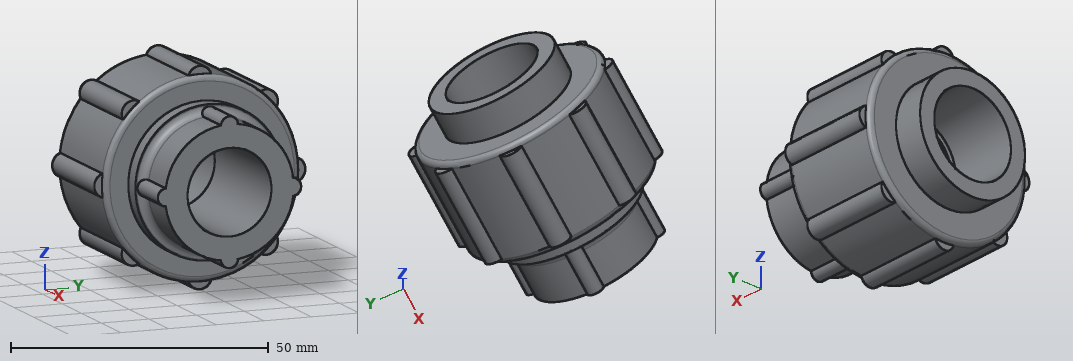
import cadquery as cq

TOTAL_LENGTH = 45.0

NUT_START = 7.0
NUT_END = 31.0
COLLAR_END = 34.6

SPIGOT_RADIUS = 13.7
NUT_RADIUS = 20.55
COLLAR_RADIUS = 15.5
TAIL_RADIUS = 13.5

NUT_EDGE_FILLET = 1.2
TAIL_ROOT_FILLET = 1.7

NUT_RIB_COUNT = 8
NUT_RIB_RADIUS = 2.5
NUT_RIB_CREST = 22.15

TAIL_RIB_COUNT = 4
TAIL_RIB_RADIUS = 1.8
TAIL_RIB_CREST = 15.05

BORE_RADIUS = 8.8
SOCKET_RADIUS = 10.0
SOCKET_DEPTH = 16.0


def cylinder(start, end, radius, offset=0.0):
    """Cylinder parallel to X, its axis raised along Z by the offset."""
    return (
        cq.Workplane("YZ", origin=(start, 0, offset))
        .circle(radius)
        .extrude(end - start)
    )


def add_ribs(body, count, start, end, radius, crest):
    """Join evenly spaced round ribs whose tops reach the crest radius."""
    for index in range(count):
        rib = cylinder(start, end, radius, crest - radius)
        body = body.union(rib.rotate((0, 0, 0), (1, 0, 0), index * 360.0 / count))
    return body


def make_nut():
    nut = cylinder(NUT_START, NUT_END, NUT_RADIUS).edges("%CIRCLE").fillet(NUT_EDGE_FILLET)
    return add_ribs(
        nut,
        NUT_RIB_COUNT,
        NUT_START + NUT_EDGE_FILLET,
        NUT_END - NUT_EDGE_FILLET,
        NUT_RIB_RADIUS,
        NUT_RIB_CREST,
    )


def make_tail():
    """Collar and tail, with a concave fillet where the tail meets the collar."""
    fillet_start = (COLLAR_END, TAIL_RADIUS + TAIL_ROOT_FILLET)
    fillet_end = (COLLAR_END + TAIL_ROOT_FILLET, TAIL_RADIUS)
    profile = (
        cq.Workplane("XY")
        .moveTo(NUT_END, 0)
        .lineTo(NUT_END, COLLAR_RADIUS)
        .lineTo(COLLAR_END, COLLAR_RADIUS)
        .lineTo(*fillet_start)
        .radiusArc(fillet_end, -TAIL_ROOT_FILLET)
        .lineTo(TOTAL_LENGTH, TAIL_RADIUS)
        .lineTo(TOTAL_LENGTH, 0)
        .close()
    )
    tail = profile.revolve(360, (0, 0, 0), (1, 0, 0))
    return add_ribs(
        tail,
        TAIL_RIB_COUNT,
        COLLAR_END,
        TOTAL_LENGTH,
        TAIL_RIB_RADIUS,
        TAIL_RIB_CREST,
    )


spigot = cylinder(0, NUT_START, SPIGOT_RADIUS)
bore = cylinder(0, TOTAL_LENGTH, BORE_RADIUS)
socket = cylinder(0, SOCKET_DEPTH, SOCKET_RADIUS)

result = spigot.union(make_nut()).union(make_tail()).cut(bore).cut(socket)